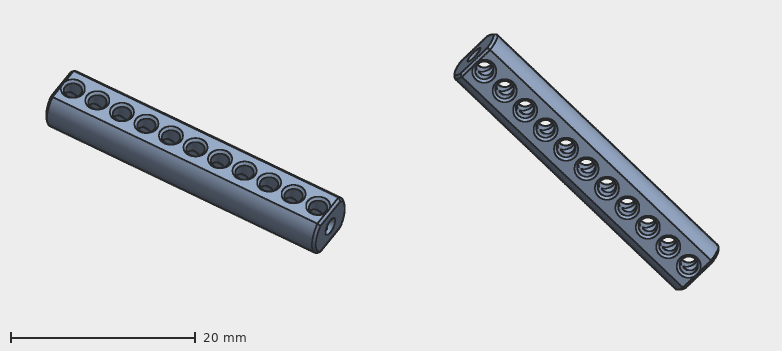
import cadquery as cq

length = 34.38
rod_diameter = 6.6
flat_height = 5.0
edge_break = 0.3

hole_count = 11
hole_diameter = 2.0
hole_pitch = length / hole_count
countersink_diameter = hole_diameter + 2 * edge_break
countersink_angle = 90


def make_bar():
    """Rod along X, centred on the origin, with both flats and chamfered ends."""
    rod = cq.Workplane("YZ").circle(rod_diameter / 2).extrude(length / 2, both=True)
    flats = cq.Workplane("XY").box(length, rod_diameter, flat_height)
    return rod.intersect(flats).faces("<X or >X").chamfer(edge_break)


def drill_cross_holes(bar):
    """Vertical through holes, countersunk on both flats."""
    for side in (1, -1):
        flat = cq.Plane(origin=(0, 0, side * flat_height / 2), xDir=(1, 0, 0), normal=(0, 0, side))
        bar = (
            bar.copyWorkplane(cq.Workplane(flat))
            .rarray(hole_pitch, 0.35, hole_count, 1)
            .cskHole(hole_diameter, countersink_diameter, countersink_angle)
        )
    return bar


def drill_axial_hole(bar):
    """Through hole along the length of the bar."""
    drill = cq.Workplane("YZ").circle(hole_diameter / 2).extrude(length / 2, both=True)
    return bar.cut(drill)


result = drill_axial_hole(drill_cross_holes(make_bar()))